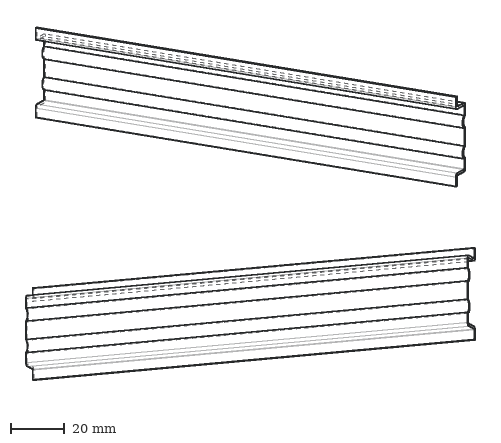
import cadquery as cq

length = 177.8
overall_height = 35.0
overall_depth = 7.5
thickness = 1.0

channel_height = 27.0

bend_inner_radius = 0.2
bend_outer_radius = bend_inner_radius + thickness

bead_offset = 6.0
bead_rise = 1.42
bead_half_width = 2.5

flange_front = -overall_depth / 2
flange_back = flange_front + thickness
web_back = overall_depth / 2
web_front = web_back - thickness
flange_tip = overall_height / 2
leg_outside = channel_height / 2
leg_inside = leg_outside - thickness


def make_bar(y_min, y_max, half_height):
    """Rectangular bar along the rail, centred on mid-height."""
    depth = y_max - y_min
    return cq.Workplane("XY").box(length, depth, 2 * half_height).translate((0, y_min + depth / 2, 0))


def make_bead_bar(chord_y, center_z):
    """Bar along the rail whose section is an arc rising towards -Y from a chord."""
    return (
        cq.Workplane("YZ")
        .workplane(offset=-length / 2)
        .moveTo(chord_y, center_z - bead_half_width)
        .threePointArc((chord_y - bead_rise, center_z), (chord_y, center_z + bead_half_width))
        .close()
        .extrude(length)
    )


def make_sharp_hat():
    """Top-hat section with a flat web and square corners."""
    channel = make_bar(flange_front, web_back, leg_outside)
    flanges = make_bar(flange_front, flange_back, flange_tip)
    cavity = make_bar(flange_front, web_front, leg_inside)
    return channel.union(flanges).cut(cavity)


def round_corner(hat, y, z, radius):
    """Round the lengthwise edge at the given section position."""
    return hat.edges(cq.selectors.NearestToPointSelector((0, y, z))).fillet(radius)


def round_bends(hat):
    """Round both sides of the web bends and the flange bends, above and below."""
    for side in (-1, 1):
        hat = round_corner(hat, web_back, side * leg_outside, bend_outer_radius)
        hat = round_corner(hat, web_front, side * leg_inside, bend_inner_radius)
        hat = round_corner(hat, flange_front, side * leg_inside, bend_outer_radius)
        hat = round_corner(hat, flange_back, side * leg_outside, bend_inner_radius)
    return hat


def press_bead(rail, center_z):
    """Raise a ridge on the open face of the web and a matching groove behind it."""
    ridge = make_bead_bar(web_front, center_z)
    groove = make_bead_bar(web_back, center_z)
    return rail.union(ridge).cut(groove)


rail = round_bends(make_sharp_hat())
for bead_height in (-bead_offset, bead_offset):
    rail = press_bead(rail, bead_height)

result = rail